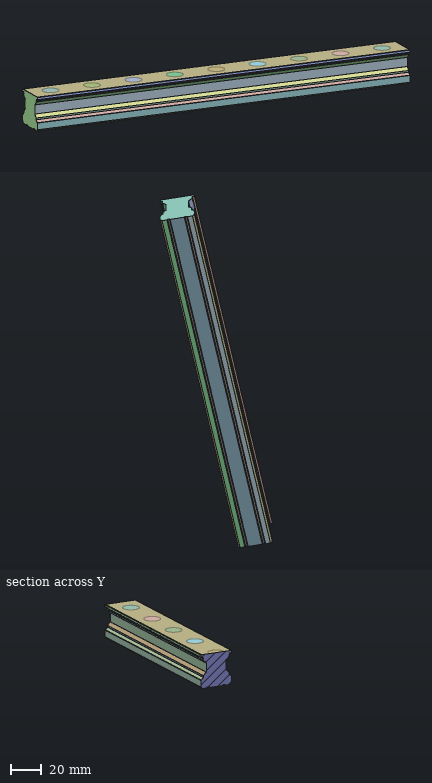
import cadquery as cq
import math

length = 270.0
width = 23.0
height = 23.5

waist_width = 15.0
waist_bottom = 11.0
waist_top = 17.3

lip_height = 2.0
lip_ledge_width = 1.4
lip_ledge_drop = 0.14
top_chamfer = 0.3

base_side_top = 6.0
base_ledge_width = 0.3
base_ledge_drop = 0.14
base_chamfer = 1.4

lower_flank_rise = 2.2
lower_step_depth = 0.14
lower_step_height = 1.22
upper_flank_rise = 2.7
upper_step_depth = 0.5
upper_step_height = 0.5

base_groove_spacing = 11.5
base_groove_width = 2.2
base_groove_floor_width = 1.0
base_groove_depth = 0.5

plug_count = 9
plug_diameter = 11.0
plug_depth = 5.5
plug_pitch = length / plug_count


def flank(start, rise, step_depth, step_height, corner, ledge_width, ledge_drop):
    """Points from the waist at start, over the step and a narrow ledge, to the outer corner."""
    start_x, start_z = start
    corner_x, corner_z = corner
    away = math.copysign(1, corner_z - start_z)
    step_x = start_x + rise
    step_z = start_z + away * rise
    return [
        start,
        (step_x, step_z),
        (step_x - step_depth, step_z + away * step_height),
        (corner_x - ledge_width, corner_z - away * ledge_drop),
        corner,
    ]


def rail_body():
    """Rail of constant cross-section, centred on X and Y and standing on Z = 0."""
    half_width = width / 2
    half_waist = waist_width / 2
    groove_x = base_groove_spacing / 2
    half_groove = base_groove_width / 2
    half_floor = base_groove_floor_width / 2

    lower_flank = flank(
        start=(half_waist, waist_bottom),
        rise=lower_flank_rise,
        step_depth=lower_step_depth,
        step_height=lower_step_height,
        corner=(half_width, base_side_top),
        ledge_width=base_ledge_width,
        ledge_drop=base_ledge_drop,
    )
    upper_flank = flank(
        start=(half_waist, waist_top),
        rise=upper_flank_rise,
        step_depth=upper_step_depth,
        step_height=upper_step_height,
        corner=(half_width, height - lip_height),
        ledge_width=lip_ledge_width,
        ledge_drop=lip_ledge_drop,
    )

    right_side = [
        (groove_x - half_groove, 0),
        (groove_x - half_floor, base_groove_depth),
        (groove_x + half_floor, base_groove_depth),
        (groove_x + half_groove, 0),
        (half_width - base_chamfer, 0),
        (half_width, base_chamfer),
        *reversed(lower_flank),
        *upper_flank,
        (half_width, height - top_chamfer),
        (half_width - top_chamfer, height),
    ]
    left_side = [(-x, z) for x, z in reversed(right_side)]
    profile = cq.Workplane("XZ").polyline(right_side + left_side).close()
    return profile.extrude(length / 2, both=True)


def plugs():
    """Row of plugs evenly spaced along the rail, half a pitch in from each end."""
    return (
        cq.Workplane("XY", origin=(0, 0, height - plug_depth))
        .rarray(2.7, plug_pitch, 1, plug_count)
        .circle(plug_diameter / 2)
        .extrude(plug_depth)
    )


result = rail_body().union(plugs(), clean=False)